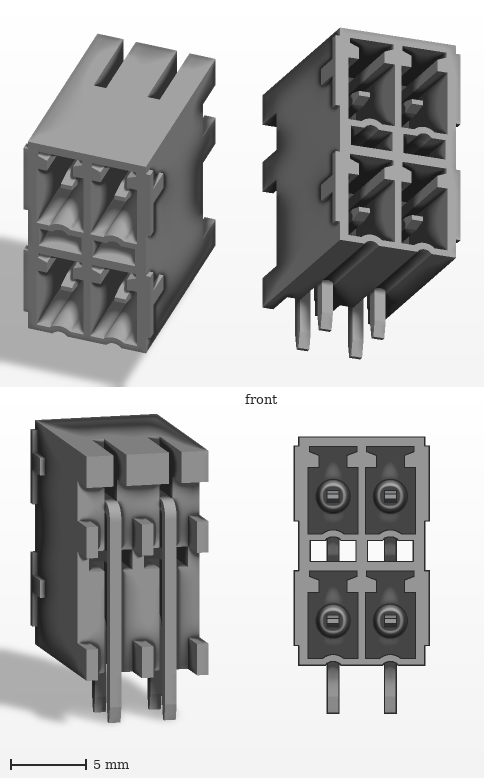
import cadquery as cq
import math


column_pitch = 3.8
tier_pitch = 8.3
lower_axis_z = 6.15
column_xs = [-column_pitch / 2, column_pitch / 2]
tier_zs = [lower_axis_z, lower_axis_z + tier_pitch]

housing_width = 8.39
housing_depth = 13.3
housing_top = 18.4
housing_bottom = 3.2

finger_length = 2.37
finger_height = 2.12

recess_width = 3.02

slot_width = 0.88
slot_end_y = 7.6

cavity_depth = 6.62
cavity_width = 3.33
cavity_top = 3.33
floor_thickness = 0.45
cavity_floor = housing_bottom + floor_thickness - lower_axis_z
keyway_width = 3.15
neck_width = 1.85
neck_bottom = 1.91
neck_top = 2.72
keyway_edge = 2.98

rib_radius = 1.12
rib_height = 0.28
groove_radius = 0.66
rib_axis = cavity_floor + rib_height - rib_radius

window_width = recess_width
window_height = 1.38

boss_base_radius = 1.15
boss_tip_radius = 0.85
boss_height = 1.29
boss_edge_radius = 0.22

pad_thickness = 0.31
pad_bar_depth = 0.57
pad_bar_bottom = -1.64
pad_bar_top = 3.37
pad_stem_depth = 2.5
pad_stem_bottom = 0.68
pad_stem_top = 1.85

pin_size = 0.8
pin_tip_y = 1.23
taper_length = 1.1
taper_tip_size = 0.33
bend_inner_radius = 0.35
bend_outer_radius = bend_inner_radius + pin_size
lower_tail_y = slot_end_y + pin_size / 2
tail_pitch = column_pitch
tail_ys = [lower_tail_y, lower_tail_y + tail_pitch]


def box(x_range, y_range, z_range):
    """Box between the given lower and upper limits on each axis."""
    (x0, x1), (y0, y1), (z0, z1) = x_range, y_range, z_range
    return cq.Workplane("XY").box(x1 - x0, y1 - y0, z1 - z0, centered=False).translate((x0, y0, z0))


def about(center, width):
    """Limits of a span of the given width about its center."""
    return (center - width / 2, center + width / 2)


def along_depth(x, z):
    """Workplane on the mating face, centered at (x, z); a negative extrusion runs toward +Y."""
    return cq.Workplane("XZ", origin=(x, 0, z))


def make_pad(side, axis_z):
    """T-shaped pad on the left (side = -1) or right (side = 1) wall."""
    wall_x = side * housing_width / 2
    x_range = sorted((wall_x, wall_x + side * pad_thickness))
    bar = box(x_range, (0, pad_bar_depth), (axis_z + pad_bar_bottom, axis_z + pad_bar_top))
    stem = box(x_range, (0, pad_stem_depth), (axis_z + pad_stem_bottom, axis_z + pad_stem_top))
    return bar.union(stem)


def make_cavity(x, axis_z):
    """Space of one mating cavity, around its floor rib and contact boss."""
    right_side = [
        (cavity_width / 2, cavity_floor),
        (cavity_width / 2, neck_bottom),
        (neck_width / 2, neck_bottom),
        (neck_width / 2, neck_top),
        (keyway_width / 2, keyway_edge),
        (keyway_width / 2, cavity_top),
    ]
    left_side = [(-px, pz) for px, pz in reversed(right_side)]
    space = along_depth(x, axis_z).polyline(right_side + left_side).close().extrude(-cavity_depth)
    rib = along_depth(x, axis_z + rib_axis).circle(rib_radius).extrude(-cavity_depth)
    return space.cut(rib).cut(make_boss(x, axis_z))


def make_boss(x, axis_z):
    """Cone that narrows toward the mating face, with a rounded front edge."""
    cone = cq.Solid.makeCone(
        boss_base_radius,
        boss_tip_radius,
        boss_height,
        pnt=cq.Vector(x, cavity_depth, axis_z),
        dir=cq.Vector(0, -1, 0),
    )
    return cq.Workplane(cone).faces("<Y").edges().fillet(boss_edge_radius)


def make_pin(x, axis_z, tail_y):
    """Square pin: contact along Y, quarter bend, and tail down to Z = 0, tapered at both ends."""
    half = pin_size / 2
    half_tip = taper_tip_size / 2
    bend_y = tail_y + half - bend_outer_radius
    bend_z = axis_z + half - bend_outer_radius
    diagonal = math.sqrt(0.5)
    outer_middle = (bend_y + diagonal * bend_outer_radius, bend_z + diagonal * bend_outer_radius)
    inner_middle = (bend_y + diagonal * bend_inner_radius, bend_z + diagonal * bend_inner_radius)
    return (
        cq.Workplane("YZ", origin=(x - half, 0, 0))
        .moveTo(pin_tip_y, axis_z + half_tip)
        .lineTo(pin_tip_y + taper_length, axis_z + half)
        .lineTo(bend_y, axis_z + half)
        .threePointArc(outer_middle, (tail_y + half, bend_z))
        .lineTo(tail_y + half, taper_length)
        .lineTo(tail_y + half_tip, 0)
        .lineTo(tail_y - half_tip, 0)
        .lineTo(tail_y - half, taper_length)
        .lineTo(tail_y - half, bend_z)
        .threePointArc(inner_middle, (bend_y, axis_z - half))
        .lineTo(pin_tip_y + taper_length, axis_z - half)
        .lineTo(pin_tip_y, axis_z - half_tip)
        .close()
        .extrude(pin_size)
    )


def make_housing():
    """Housing with its cavities, windows, slots and notches, but no pin holes yet."""
    full_depth = (0, housing_depth)
    full_height = (housing_bottom, housing_top)
    body = box(about(0, housing_width), full_depth, full_height)

    for axis_z in tier_zs:
        for side in (-1, 1):
            body = body.union(make_pad(side, axis_z))

    middle_finger_bottom = housing_bottom + tier_pitch
    notch_y = (housing_depth - finger_length, housing_depth)
    lower_notch_z = (housing_bottom + finger_height, middle_finger_bottom)
    upper_notch_z = (middle_finger_bottom + finger_height, housing_top - finger_height)
    for notch_z in (lower_notch_z, upper_notch_z):
        body = body.cut(box(about(0, housing_width), notch_y, notch_z))

    recess_z = (housing_bottom, middle_finger_bottom + finger_height)
    window_z = (middle_finger_bottom - window_height, middle_finger_bottom)
    for x in column_xs:
        body = body.cut(box(about(x, slot_width), (slot_end_y, housing_depth), full_height))
        body = body.cut(box(about(x, recess_width), notch_y, recess_z))
        body = body.cut(box(about(x, window_width), full_depth, window_z))
        for axis_z in tier_zs:
            groove = along_depth(x, axis_z + rib_axis).circle(groove_radius).extrude(-housing_depth)
            body = body.cut(groove).cut(make_cavity(x, axis_z))
    return body


pins = []
for x in column_xs:
    for axis_z, tail_y in zip(tier_zs, tail_ys):
        pins.append(make_pin(x, axis_z, tail_y))

housing = make_housing()
for pin in pins:
    housing = housing.cut(pin)

result = cq.Compound.makeCompound([*housing.solids().vals(), *[pin.val() for pin in pins]])